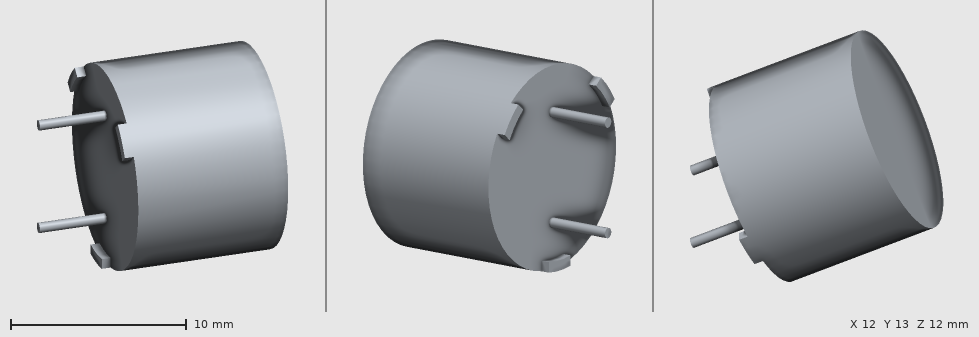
import cadquery as cq

body_diameter = 12.0
overall_length = 13.0
pin_length = 4.0
body_length = overall_length - pin_length
pin_diameter = 0.6
pin_spacing = 6.5
foot_height = 0.53
foot_width = 2.0
foot_inner_radius = 5.4
side_foot_angle = 130.0

body_radius = body_diameter / 2


def front_plane():
    """Plane of the pin face: local x is X, local y is Z, normal is -Y."""
    return cq.Workplane("XZ")


def make_body():
    return front_plane().circle(body_radius).extrude(-body_length)


def make_pins():
    pin_centers = [(0, pin_spacing / 2), (0, -pin_spacing / 2)]
    return front_plane().pushPoints(pin_centers).circle(pin_diameter / 2).extrude(pin_length)


def make_foot_block(angle):
    """Parallel-sided radial bar, turned about the can axis from the bottom."""
    bar = front_plane().center(0, -body_radius).rect(foot_width, body_radius).extrude(foot_height)
    return bar.rotate((0, 0, 0), (0, 1, 0), angle)


def make_feet():
    """Pieces of the rim ring left standing where the radial bars cross it."""
    ring = front_plane().circle(body_radius).circle(foot_inner_radius).extrude(foot_height)
    bars = make_foot_block(0)
    for angle in (side_foot_angle, -side_foot_angle):
        bars = bars.union(make_foot_block(angle))
    return ring.intersect(bars)


result = make_body().union(make_feet()).union(make_pins())